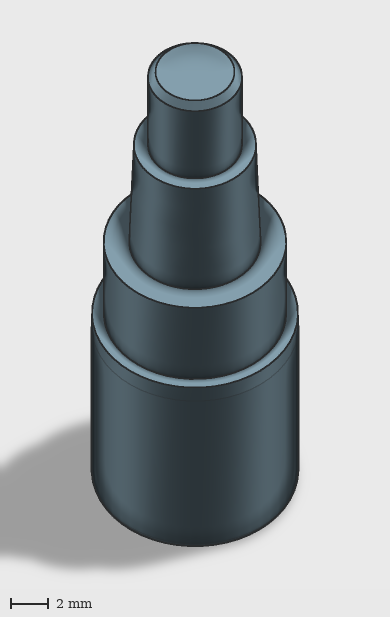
import cadquery as cq

total_height = 31.1

housing_diameter = 11.0
housing_height = 12.5
housing_rim_radius = 0.5
band_height = 1.0
band_top_diameter = 10.95

shoulder_diameter = 9.7
shoulder_height = 5.5
cone_base_diameter = 7.0
cone_top_diameter = 6.5
cone_height = 7.5
tip_diameter = 5.0
tip_chamfer = 0.4

band_base = housing_height - band_height
shoulder_top = housing_height + shoulder_height
cone_top = shoulder_top + cone_height


def revolve_about_z(profile):
    """Turn a closed half profile, drawn in the XZ plane, about the Z axis."""
    return profile.revolve(360, (0, 0, 0), (0, 1, 0))


def make_housing():
    """Solid cylinder with a tapered top band and a rounded bottom rim."""
    profile = (
        cq.Workplane("XZ")
        .lineTo(housing_diameter / 2, 0)
        .lineTo(housing_diameter / 2, band_base)
        .lineTo(band_top_diameter / 2, housing_height)
        .lineTo(0, housing_height)
        .close()
    )
    return revolve_about_z(profile).faces("<Z").edges().fillet(housing_rim_radius)


def make_stepped_pin():
    """Shoulder, tapered section and chamfered tip, stacked along Z."""
    tip_radius = tip_diameter / 2
    profile = (
        cq.Workplane("XZ")
        .moveTo(0, housing_height)
        .lineTo(shoulder_diameter / 2, housing_height)
        .lineTo(shoulder_diameter / 2, shoulder_top)
        .lineTo(cone_base_diameter / 2, shoulder_top)
        .lineTo(cone_top_diameter / 2, cone_top)
        .lineTo(tip_radius, cone_top)
        .lineTo(tip_radius, total_height - tip_chamfer)
        .lineTo(tip_radius - tip_chamfer, total_height)
        .lineTo(0, total_height)
        .close()
    )
    return revolve_about_z(profile)


housing = make_housing()
stepped_pin = make_stepped_pin()

result = cq.Compound.makeCompound([housing.val(), stepped_pin.val()])